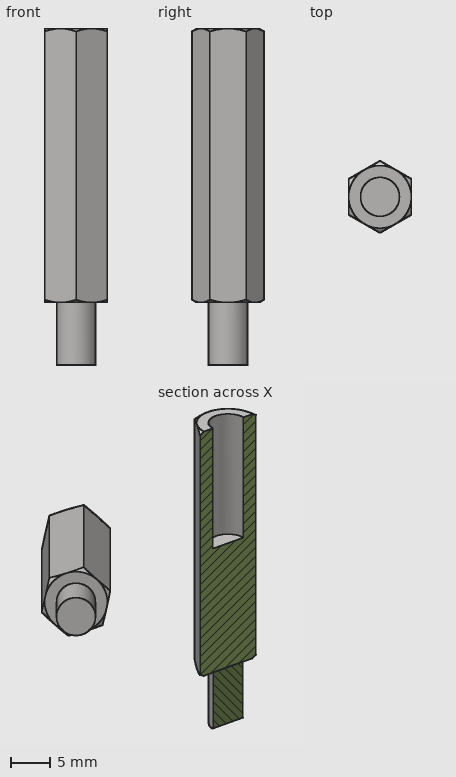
import cadquery as cq
import math

total_length = 43.0
across_flats = 8.0
thread_diameter = 5.0
stud_length = 8.0
hole_depth = 17.2
chamfer_angle = 30.0

hex_length = total_length - stud_length
across_corners = across_flats / math.cos(math.radians(30))
corner_radius = across_corners / 2
face_radius = across_flats / 2
chamfer_height = (corner_radius - face_radius) * math.tan(math.radians(chamfer_angle))


def make_chamfer_envelope():
    """Turned blank whose coned ends trim the corners of the hexagon."""
    return (
        cq.Workplane("XZ")
        .moveTo(0, 0)
        .lineTo(face_radius, 0)
        .lineTo(corner_radius, chamfer_height)
        .lineTo(corner_radius, hex_length - chamfer_height)
        .lineTo(face_radius, hex_length)
        .lineTo(0, hex_length)
        .close()
        .revolve(360, (0, 0, 0), (0, 1, 0))
    )


def make_spacer():
    """Hexagonal spacer with corners on the Y axis and a blind hole in its top."""
    prism = (
        cq.Workplane("XY")
        .transformed(rotate=(0, 0, 90))
        .polygon(6, across_corners)
        .extrude(hex_length)
    )
    hole = (
        cq.Workplane("XY", origin=(0, 0, hex_length - hole_depth))
        .circle(thread_diameter / 2)
        .extrude(hole_depth)
    )
    return prism.intersect(make_chamfer_envelope()).cut(hole)


def make_stud():
    """Plain round stud below the spacer, meeting its bottom face."""
    return cq.Workplane("XY").circle(thread_diameter / 2).extrude(-stud_length)


spacer = make_spacer()
stud = make_stud()

result = cq.Compound.makeCompound([spacer.val(), stud.val()])